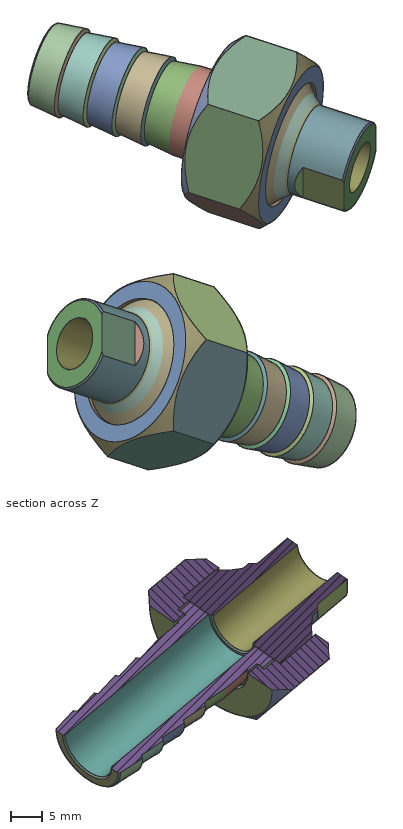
import cadquery as cq
import math

TOTAL_LENGTH = 55.0
PIPE_DIAMETER = 15.0

BARB_COUNT = 4
BARB_PITCH = 5.0
BARB_ROOT_DIAMETER = 13.9
BARB_BACK_LENGTH = 0.4
HOSE_BORE_DIAMETER = 10.0
TIP_CHAMFER = 0.3
HUB_DIAMETER = 15.5
HUB_INSET = 0.55
COLLAR_DIAMETER = 18.0

NUT_START = 29.55
NUT_END = 43.0
NUT_ACROSS_FLATS = 27.0
NUT_FACE_DIAMETER = 26.5
NUT_NECK_DIAMETER = 16.0
NUT_RECESS_DIAMETER = 18.65
NUT_LIP = 2.5
THREAD_DIAMETER = 20.9

SEAT_X = 34.65
MALE_BORE_DIAMETER = 8.6
BORE_CHAMFER = 0.3
SHOULDER_EXIT_DIAMETER = 19.45
SHOULDER_MID_X = 43.85
SHOULDER_MID_DIAMETER = 17.65
SHOULDER_FOOT_X = 45.2
SHOULDER_FOOT_DIAMETER = 15.5
SPIGOT_START = 45.6
SPIGOT_CHAMFER = 0.3
FLAT_START = 47.85
FLATS_WIDTH = 13.0

COLLAR_START = NUT_START + NUT_LIP
HUB_START = NUT_START + HUB_INSET


def revolve_profile(points):
    """Revolve a closed (x, radius) outline about the X axis."""
    return cq.Workplane("XY").polyline(points).close().revolve(360, (0, 0, 0), (1, 0, 0))


def cylinder(start, end, diameter):
    return cq.Workplane("YZ", origin=(start, 0, 0)).circle(diameter / 2).extrude(end - start)


def make_hose_tail():
    root = BARB_ROOT_DIAMETER / 2
    crest = PIPE_DIAMETER / 2
    bore = HOSE_BORE_DIAMETER / 2
    outline = [
        (TIP_CHAMFER, bore),
        (0, bore + TIP_CHAMFER),
        (0, root - TIP_CHAMFER),
        (TIP_CHAMFER, root),
    ]
    for barb in range(1, BARB_COUNT + 1):
        crest_x = barb * BARB_PITCH
        outline += [(crest_x, crest), (crest_x + BARB_BACK_LENGTH, root)]
    outline += [
        ((BARB_COUNT + 1) * BARB_PITCH, crest),
        (HUB_START, crest),
        (HUB_START, HUB_DIAMETER / 2),
        (COLLAR_START, HUB_DIAMETER / 2),
        (COLLAR_START, COLLAR_DIAMETER / 2),
        (SEAT_X, COLLAR_DIAMETER / 2),
        (SEAT_X, bore),
    ]
    return revolve_profile(outline)


def make_nut():
    corner_diameter = NUT_ACROSS_FLATS / math.cos(math.pi / 6)
    corner = corner_diameter / 2
    face = NUT_FACE_DIAMETER / 2
    chamfer = corner - face
    nut = (
        cq.Workplane("YZ", origin=(NUT_START, 0, 0))
        .polygon(6, corner_diameter)
        .extrude(NUT_END - NUT_START)
    )
    envelope = revolve_profile([
        (NUT_START, 0),
        (NUT_START, face),
        (NUT_START + chamfer, corner),
        (NUT_END - chamfer, corner),
        (NUT_END, face),
        (NUT_END, 0),
    ])
    return (
        nut.intersect(envelope)
        .cut(cylinder(NUT_START, COLLAR_START, NUT_NECK_DIAMETER))
        .cut(cylinder(COLLAR_START, SEAT_X, NUT_RECESS_DIAMETER))
        .cut(cylinder(SEAT_X, NUT_END, THREAD_DIAMETER))
    )


def make_flat_cutter():
    """Wedge that mills the +Y spanner flat, with a 45 degree run-out."""
    flat = FLATS_WIDTH / 2
    run_out = PIPE_DIAMETER / 2
    return (
        cq.Workplane("XY")
        .polyline([
            (FLAT_START, flat),
            (TOTAL_LENGTH, flat),
            (TOTAL_LENGTH, flat + run_out),
            (FLAT_START - run_out, flat + run_out),
        ])
        .close()
        .extrude(PIPE_DIAMETER / 2, both=True)
    )


def make_male_end():
    thread = THREAD_DIAMETER / 2
    spigot = PIPE_DIAMETER / 2
    bore = MALE_BORE_DIAMETER / 2
    thread_end = NUT_END - (THREAD_DIAMETER - SHOULDER_EXIT_DIAMETER) / 2
    body = revolve_profile([
        (SEAT_X + BORE_CHAMFER, bore),
        (SEAT_X, bore + BORE_CHAMFER),
        (SEAT_X, thread),
        (thread_end, thread),
        (SHOULDER_MID_X, SHOULDER_MID_DIAMETER / 2),
        (SHOULDER_FOOT_X, SHOULDER_FOOT_DIAMETER / 2),
        (SPIGOT_START, spigot),
        (TOTAL_LENGTH - SPIGOT_CHAMFER, spigot),
        (TOTAL_LENGTH, spigot - SPIGOT_CHAMFER),
        (TOTAL_LENGTH, bore),
    ])
    cutter = make_flat_cutter()
    return body.cut(cutter).cut(cutter.mirror("XZ"))


hose_tail = make_hose_tail()
nut = make_nut()
male_end = make_male_end()

result = cq.Compound.makeCompound([hose_tail.val(), nut.val(), male_end.val()])